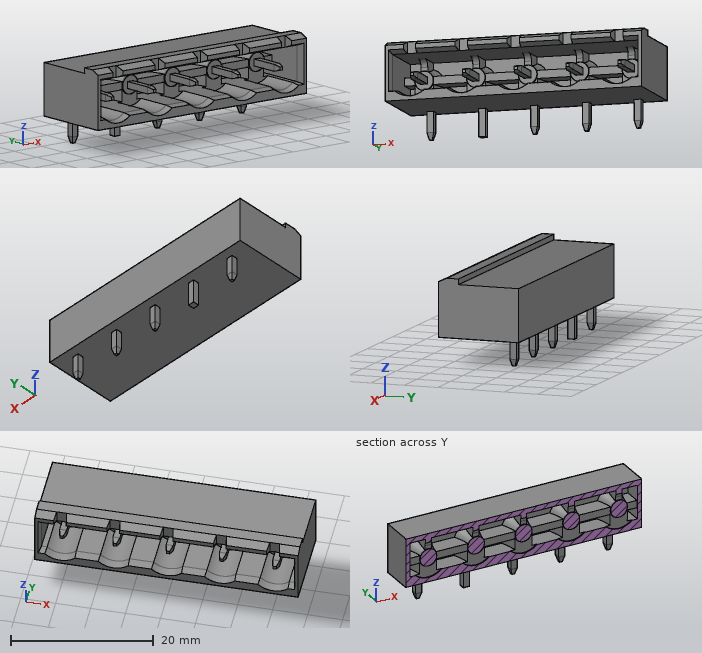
import cadquery as cq
pin_count = 5
pitch = 7.62
end_margin = 3.6
length = (pin_count - 1) * pitch + 2 * end_margin
pin_positions = [(i - (pin_count - 1) / 2) * pitch for i in range(pin_count)]

depth = 12.0
body_height = 7.7
lip_height = 8.5
lip_depth = 3.0
bevel_depth = 1.25
bevel_drop = 0.57

lead_in_depth = bevel_depth
wall_lead_in = 0.2
ceiling_lead_in = 0.45
opening_wall = 0.5
opening_floor = 1.37
opening_ceiling = 7.27
cavity_length = length - 2 * (opening_wall + wall_lead_in)
cavity_floor = opening_floor + wall_lead_in
cavity_ceiling = opening_ceiling - ceiling_lead_in
cavity_back = 9.4

pin_axis_z = 3.87
trough_radius = 3.1
trough_mouth_radius = trough_radius + wall_lead_in

notch_depth = 1.27
notch_front_width = 1.82
notch_back_width = 1.4

boss_front = 6.8
boss_tip_radius = 1.37
boss_base_radius = 2.06
flank_middle_y = (boss_front + cavity_back) / 2
flank_middle_radius = 1.62
collar_length = 0.2

bar_bottom = 3.28
bar_top = 4.43
web_width = 1.0
web_fillet = 1.02

pin_width = 1.0
pin_tip_width = 0.45
pin_taper = 1.0
pin_front = 1.2
pin_leg_y = 10.0
pin_leg_length = 4.0
blunt_leg_index = 1


def box(x_size, x_center, y_min, y_max, z_min, z_max):
    """Axis-aligned block, centred on x_center."""
    block = cq.Workplane("XY").box(x_size, y_max - y_min, z_max - z_min, centered=(True, False, False))
    return block.translate((x_center, y_min, z_min))


def facing_section(y, x_size, z_min, z_max):
    """Workplane at depth y, facing -Y, holding a rectangle centred on X = 0."""
    plane = cq.Workplane("XZ", origin=(0, y, 0))
    return plane.center(0, (z_min + z_max) / 2).rect(x_size, z_max - z_min)


def make_body():
    """Extruded side profile with the bevelled lip."""
    profile = [
        (0, 0),
        (depth, 0),
        (depth, body_height),
        (lip_depth, body_height),
        (lip_depth, lip_height),
        (bevel_depth, lip_height),
        (0, lip_height - bevel_drop),
    ]
    return cq.Workplane("YZ").polyline(profile).close().extrude(length / 2, both=True)


def make_cavity():
    """Straight pocket with a tapered mouth."""
    pocket = box(cavity_length, 0, 0, cavity_back, cavity_floor, cavity_ceiling)
    mouth = (
        facing_section(lead_in_depth, cavity_length, cavity_floor, cavity_ceiling)
        .workplane(offset=lead_in_depth)
        .center(0, (opening_floor + opening_ceiling - cavity_floor - cavity_ceiling) / 2)
        .rect(length - 2 * opening_wall, opening_ceiling - opening_floor)
        .loft(ruled=True)
    )
    return pocket.union(mouth)


def make_trough(x):
    """Part of a flared round bore that lies below the cavity floor."""
    bore = (
        cq.Workplane("XY")
        .moveTo(0, 0)
        .lineTo(trough_mouth_radius, 0)
        .lineTo(trough_radius, lead_in_depth)
        .lineTo(trough_radius, boss_front)
        .lineTo(0, boss_front)
        .close()
        .revolve(360, (0, 0, 0), (0, 1, 0))
        .translate((x, 0, pin_axis_z))
    )
    return bore.intersect(box(pitch, x, 0, boss_front, 0, cavity_floor))


def make_notch(x):
    """Keying slot through the lip, narrowing away from the mating face."""
    outline = [
        (x - notch_front_width / 2, 0),
        (x + notch_front_width / 2, 0),
        (x + notch_back_width / 2, notch_depth),
        (x - notch_back_width / 2, notch_depth),
    ]
    plane = cq.Workplane("XY", origin=(0, 0, cavity_ceiling))
    return plane.polyline(outline).close().extrude(lip_height - cavity_ceiling)


def boss_half_profile():
    """Half outline of a boss in plan: radius along X, concave flank along Y."""
    return (
        cq.Workplane("XY")
        .moveTo(0, boss_front)
        .lineTo(boss_tip_radius, boss_front)
        .threePointArc((flank_middle_radius, flank_middle_y), (boss_base_radius, cavity_back))
        .lineTo(0, cavity_back)
        .close()
    )


def make_boss(x):
    """Arched boss: round on top, upright flanks below the pin axis, and a short collar."""
    dome = boss_half_profile().revolve(360, (0, 0, 0), (0, 1, 0)).translate((0, 0, pin_axis_z))
    right_half = boss_half_profile().extrude(pin_axis_z - cavity_floor)
    right_half = right_half.translate((0, 0, cavity_floor))
    left_half = right_half.mirror("YZ")
    collar = (
        cq.Workplane("XZ", origin=(0, boss_front, pin_axis_z))
        .circle(boss_tip_radius)
        .extrude(collar_length)
    )
    return dome.union(right_half).union(left_half).union(collar).translate((x, 0, 0))


def make_web(x):
    """Web from the boss to the ceiling, curving forward into the ceiling."""
    curve_start_z = cavity_ceiling - web_fillet
    return (
        cq.Workplane("YZ", origin=(x, 0, 0))
        .moveTo(cavity_back, pin_axis_z)
        .lineTo(boss_front, pin_axis_z)
        .lineTo(boss_front, curve_start_z)
        .radiusArc((boss_front - web_fillet, cavity_ceiling), -web_fillet)
        .lineTo(cavity_back, cavity_ceiling)
        .close()
        .extrude(web_width / 2, both=True)
    )


def make_taper(plane):
    """Pyramid-shaped pin end that grows along the plane's normal."""
    return (
        plane.rect(pin_width, pin_width)
        .workplane(offset=pin_taper)
        .rect(pin_tip_width, pin_tip_width)
        .loft(ruled=True)
    )


def make_pin(x, blunt_leg):
    """Square pin: a tapered contact along Y and a solder leg down along Z."""
    half = pin_width / 2
    contact_shoulder = pin_front + pin_taper
    contact = box(pin_width, x, contact_shoulder, pin_leg_y + half, pin_axis_z - half, pin_axis_z + half)
    contact_tip = make_taper(cq.Workplane("XZ", origin=(x, contact_shoulder, pin_axis_z)))
    leg_end = -pin_leg_length if blunt_leg else pin_taper - pin_leg_length
    leg = box(pin_width, x, pin_leg_y - half, pin_leg_y + half, leg_end, pin_axis_z)
    pin = contact.union(contact_tip).union(leg)
    if not blunt_leg:
        leg_plane = cq.Workplane("XY", origin=(x, pin_leg_y, leg_end)).transformed(rotate=(180, 0, 0))
        pin = pin.union(make_taper(leg_plane))
    return pin


housing = make_body().cut(make_cavity())
for pin_x in pin_positions:
    housing = housing.cut(make_trough(pin_x)).cut(make_notch(pin_x))

housing = housing.union(box(cavity_length, 0, boss_front, cavity_back, bar_bottom, bar_top))
for index, pin_x in enumerate(pin_positions):
    housing = housing.union(make_boss(pin_x)).union(make_web(pin_x))
    housing = housing.union(make_pin(pin_x, index == blunt_leg_index))

result = housing